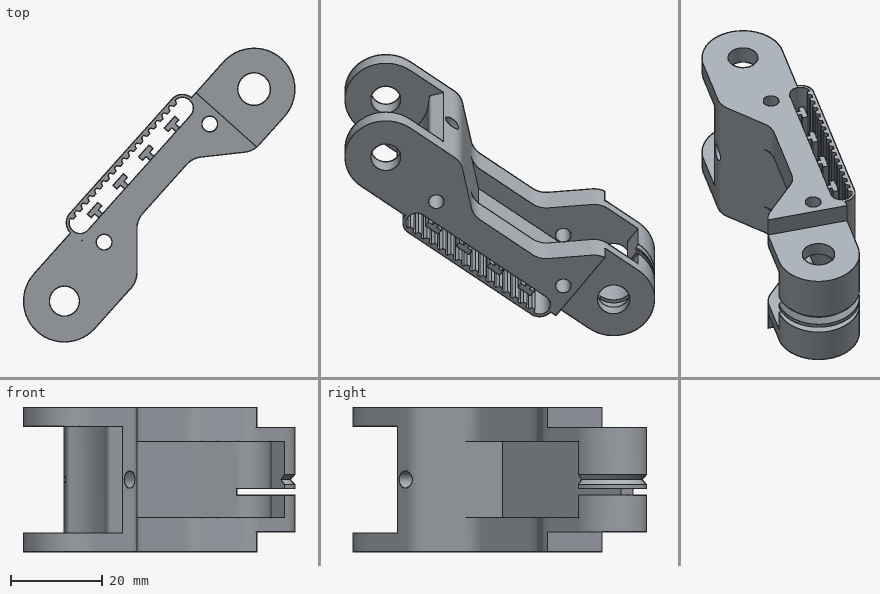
import cadquery as cq
import math

LINK_ANGLE = 48.19
PIVOT_SPACING = 62.5

END_RADIUS = 9.0
BODY_HEIGHT = 31.75
FORK_FLARE_OUTER_U = 13.87
EYE_FLARE_OUTER_U = 52.2
FLARE_RUN = END_RADIUS * math.tan(math.radians(LINK_ANGLE))
FLARE_FILLET = 5.0

SLOT_CENTRE_U = 32.0
SLOT_CENTRE_V = 8.93
SLOT_ARC_SPACING = 33.75
SLOT_RADIUS = 2.37
SLOT_WALL = 0.68
SLOT_FLOOR_V = SLOT_CENTRE_V - SLOT_RADIUS
SLOT_ROOF_V = SLOT_CENTRE_V + SLOT_RADIUS
TOOTH_COUNT = 16
TOOTH_PITCH = 2.216
TOOTH_FIRST_U = 15.12
TOOTH_DEPTH = 0.75
TOOTH_ROOT_WIDTH = 1.6
TOOTH_TIP_WIDTH = 0.85
CLIP_COUNT = 4
CLIP_PITCH = 8.46
CLIP_BAR_LENGTH = 3.5
CLIP_BAR_THICKNESS = 1.2
CLIP_STEM_WIDTH = 1.2
CLIP_HEIGHT = 2.45
CLIP_RECESS = 1.5

FORK_GAP = 23.37
FORK_HOLE_RADIUS = 3.27
FORK_CLEARANCE_RADIUS = 9.45
FORK_BACK_EDGE_U = 9.84
FORK_FRONT_EDGE_U = 9.13
FORK_BACK_TIP_ANGLE = 38.2
FORK_FRONT_TIP_ANGLE = -42.3
FORK_TIP_FILLET = 0.9

EYE_HEIGHT = 22.94
EYE_STEP_U = 53.4
EYE_HOLE_RADIUS = 3.55
EYE_BORE_RADIUS = 5.05
SLIT_TOP_Z = -1.97
SLIT_BOTTOM_Z = -3.41
GROOVE_HALF_WIDTH = 1.13
GROOVE_DEPTH = 1.05
GROOVE_TAIL = 4.3

POCKET_HEIGHT = 16.74
POCKET_WALL_V = 4.03
POCKET_WALL_TILT = 5.0
POCKET_BEND_RADIUS = 10.0

PIN_HOLE_RADIUS = 1.7
PIN_HOLE_PLACES = [(15.47, 2.14), (50.29, 2.14)]
SIDE_BORE_RADIUS = 1.85
SIDE_BORE_U = 11.5
SIDE_BORE_END_V = 6.0
CORD_HOLE_RADIUS = 0.8
EYE_CORD_HOLE_DEPTH = 2.5
EYE_CORD_HOLE_U = PIVOT_SPACING - 4.2
EYE_CORD_HOLE_Z = 2.33
FORK_CORD_HOLE_V = 7.95

CUT_MARGIN = 5.0
PICK_REACH = 0.01


def centred_prism(sketch, height):
    """Extrude a flat outline equally above and below the mid plane."""
    return sketch.extrude(height / 2, both=True)


def centred_cylinder(u, v, radius, height):
    return centred_prism(cq.Workplane("XY").center(u, v).circle(radius), height)


def corner_fillet(solid, corner, radius):
    """Round the upright edge that stands at the given corner."""
    u, v = corner
    picker = cq.selectors.BoxSelector(
        (u - PICK_REACH, v - PICK_REACH, -BODY_HEIGHT), (u + PICK_REACH, v + PICK_REACH, BODY_HEIGHT)
    )
    return solid.edges("|Z").edges(picker).fillet(radius)


def link_body():
    corners = [
        (FORK_FLARE_OUTER_U, -END_RADIUS),
        (FORK_FLARE_OUTER_U + FLARE_RUN, 0),
        (EYE_FLARE_OUTER_U - FLARE_RUN, 0),
        (EYE_FLARE_OUTER_U, -END_RADIUS),
    ]
    outline = cq.Workplane("XY").moveTo(0, -END_RADIUS)
    for u, v in corners:
        outline = outline.lineTo(u, v)
    outline = (
        outline.lineTo(PIVOT_SPACING, -END_RADIUS)
        .threePointArc((PIVOT_SPACING + END_RADIUS, 0), (PIVOT_SPACING, END_RADIUS))
        .lineTo(0, END_RADIUS)
        .threePointArc((-END_RADIUS, 0), (0, -END_RADIUS))
        .close()
    )
    body = centred_prism(outline, BODY_HEIGHT)
    for corner in corners:
        body = corner_fillet(body, corner, FLARE_FILLET)
    return body


def belt_slot(radius):
    """Round-ended bar lying along the slot."""
    sketch = cq.Workplane("XY").center(SLOT_CENTRE_U, SLOT_CENTRE_V)
    return centred_prism(sketch.slot2D(SLOT_ARC_SPACING + 2 * radius, 2 * radius), BODY_HEIGHT)


def belt_teeth():
    """Tapered teeth hanging from the thin outer wall of the slot."""
    root_v = SLOT_ROOF_V + SLOT_WALL / 2
    tip_v = SLOT_ROOF_V - TOOTH_DEPTH
    teeth = cq.Workplane("XY")
    for index in range(TOOTH_COUNT):
        middle = TOOTH_FIRST_U + index * TOOTH_PITCH
        tooth = cq.Workplane("XY").polyline([
            (middle - TOOTH_ROOT_WIDTH / 2, root_v),
            (middle - TOOTH_ROOT_WIDTH / 2, SLOT_ROOF_V),
            (middle - TOOTH_TIP_WIDTH / 2, tip_v),
            (middle + TOOTH_TIP_WIDTH / 2, tip_v),
            (middle + TOOTH_ROOT_WIDTH / 2, SLOT_ROOF_V),
            (middle + TOOTH_ROOT_WIDTH / 2, root_v),
        ]).close()
        teeth = teeth.add(centred_prism(tooth, BODY_HEIGHT))
    return teeth.combine()


def belt_clips():
    """T-shaped clips standing on the slot floor."""
    span_z = BODY_HEIGHT - 2 * CLIP_RECESS
    top_v = SLOT_FLOOR_V + CLIP_HEIGHT
    stem_base_v = SLOT_FLOOR_V - SLOT_WALL / 2
    first_u = SLOT_CENTRE_U - CLIP_PITCH * (CLIP_COUNT - 1) / 2
    clips = cq.Workplane("XY")
    for index in range(CLIP_COUNT):
        middle = first_u + index * CLIP_PITCH
        bar = cq.Workplane("XY").center(middle, top_v - CLIP_BAR_THICKNESS / 2)
        bar = centred_prism(bar.rect(CLIP_BAR_LENGTH, CLIP_BAR_THICKNESS), span_z)
        stem = cq.Workplane("XY").center(middle, (top_v + stem_base_v) / 2)
        stem = centred_prism(stem.rect(CLIP_STEM_WIDTH, top_v - stem_base_v), span_z)
        clips = clips.add(bar.union(stem))
    return clips.combine()


def fork_tip(angle):
    """Point on the clearance circle where it meets a slanted shoulder."""
    turn = math.radians(angle)
    return FORK_CLEARANCE_RADIUS * math.cos(turn), FORK_CLEARANCE_RADIUS * math.sin(turn)


def extend_to_v(start, end, v):
    """Carry the line from start through end on until it reaches the given V."""
    share = (v - start[1]) / (end[1] - start[1])
    return start[0] + share * (end[0] - start[0]), v


def fork_gap():
    """Space between the fork arms, with a round clearance between two slanted shoulders."""
    outside_v = END_RADIUS + CUT_MARGIN
    outside_u = -END_RADIUS - CUT_MARGIN
    back_tip = fork_tip(FORK_BACK_TIP_ANGLE)
    front_tip = fork_tip(FORK_FRONT_TIP_ANGLE)
    outline = (
        cq.Workplane("XY")
        .moveTo(outside_u, -outside_v)
        .lineTo(*extend_to_v(front_tip, (FORK_FRONT_EDGE_U, -END_RADIUS), -outside_v))
        .lineTo(*front_tip)
        .threePointArc((FORK_CLEARANCE_RADIUS, 0), back_tip)
        .lineTo(*extend_to_v(back_tip, (FORK_BACK_EDGE_U, END_RADIUS), outside_v))
        .lineTo(outside_u, outside_v)
        .close()
    )
    gap = centred_prism(outline, FORK_GAP)
    for tip in (back_tip, front_tip):
        gap = corner_fillet(gap, tip, FORK_TIP_FILLET)
    return gap


def eye_steps():
    """Material above and below the thinner eye end."""
    length = PIVOT_SPACING + END_RADIUS + CUT_MARGIN - EYE_STEP_U
    width = 2 * (END_RADIUS + CUT_MARGIN)
    middle = (EYE_STEP_U + length / 2, 0, 0)
    full = cq.Workplane("XY").box(length, width, BODY_HEIGHT + CUT_MARGIN)
    kept = cq.Workplane("XY").box(length, width, EYE_HEIGHT)
    return full.cut(kept).translate(middle)


def front_pocket():
    """Pocket behind the front edge; its back wall tilts to run tangent into the eye bore."""
    tilt = math.radians(POCKET_WALL_TILT)
    tangent_u = PIVOT_SPACING - EYE_BORE_RADIUS * math.sin(tilt)
    tangent_v = EYE_BORE_RADIUS * math.cos(tilt)
    bend_u = tangent_u - (tangent_v - POCKET_WALL_V) / math.tan(tilt)
    setback = POCKET_BEND_RADIUS * math.tan(tilt / 2)
    bend_end = (bend_u + setback * math.cos(tilt), POCKET_WALL_V + setback * math.sin(tilt))
    outside_v = -END_RADIUS - CUT_MARGIN
    flare_slope = FLARE_RUN / END_RADIUS
    outline = (
        cq.Workplane("XY")
        .moveTo(FORK_FLARE_OUTER_U + flare_slope * (END_RADIUS + outside_v), outside_v)
        .lineTo(FORK_FLARE_OUTER_U + flare_slope * (END_RADIUS + POCKET_WALL_V), POCKET_WALL_V)
        .lineTo(bend_u - setback, POCKET_WALL_V)
        .tangentArcPoint(bend_end, relative=False)
        .lineTo(tangent_u, tangent_v)
        .lineTo(PIVOT_SPACING, 0)
        .lineTo(PIVOT_SPACING, outside_v)
        .close()
    )
    bore = centred_cylinder(PIVOT_SPACING, 0, EYE_BORE_RADIUS, POCKET_HEIGHT)
    return centred_prism(outline, POCKET_HEIGHT).union(bore)


def eye_slit():
    """Thin slit through the rounded half of the eye."""
    length = END_RADIUS + CUT_MARGIN
    return cq.Workplane("XY").box(
        length, 2 * length, SLIT_TOP_Z - SLIT_BOTTOM_Z, centered=(False, True, False)
    ).translate((PIVOT_SPACING, 0, SLIT_BOTTOM_Z))


def rim_groove():
    """V groove round the eye rim, with a straight tail along the back edge."""
    floor = END_RADIUS - GROOVE_DEPTH
    profile = [
        (floor, 0),
        (floor + 2 * GROOVE_DEPTH, 2 * GROOVE_HALF_WIDTH),
        (floor + 2 * GROOVE_DEPTH, -2 * GROOVE_HALF_WIDTH),
    ]
    round_part = (
        cq.Workplane("XZ")
        .polyline(profile)
        .close()
        .revolve(180, (0, 0, 0), (0, 1, 0))
        .rotate((0, 0, 0), (0, 0, 1), -90)
    )
    tail = cq.Workplane("YZ").polyline(profile).close().extrude(-GROOVE_TAIL)
    return round_part, tail


def fork_cord_hole():
    """Cord hole square to the back shoulder, running into the side bore."""
    tip_u, tip_v = fork_tip(FORK_BACK_TIP_ANGLE)
    run_u = FORK_BACK_EDGE_U - tip_u
    run_v = END_RADIUS - tip_v
    mouth_u = tip_u + run_u * (FORK_CORD_HOLE_V - tip_v) / run_v
    into_body = cq.Vector(run_v, -run_u, 0).normalized()
    mouth = cq.Vector(mouth_u, FORK_CORD_HOLE_V, 0)
    depth = (SIDE_BORE_U - mouth_u) / into_body.x
    return cq.Solid.makeCylinder(CORD_HOLE_RADIUS, depth, mouth, into_body)


def side_bore():
    """Blind bore entering the front edge beside the fork."""
    start = cq.Vector(SIDE_BORE_U, -END_RADIUS - CUT_MARGIN, 0)
    depth = SIDE_BORE_END_V - start.y
    return cq.Solid.makeCylinder(SIDE_BORE_RADIUS, depth, start, cq.Vector(0, 1, 0))


def eye_cord_hole():
    """Blind cord hole in the back edge, above the tail of the rim groove."""
    start = cq.Vector(EYE_CORD_HOLE_U, END_RADIUS, EYE_CORD_HOLE_Z)
    return cq.Solid.makeCylinder(CORD_HOLE_RADIUS, EYE_CORD_HOLE_DEPTH, start, cq.Vector(0, -1, 0))


def build_link():
    link = link_body().cut(eye_steps())
    link = link.union(belt_slot(SLOT_RADIUS + SLOT_WALL)).cut(belt_slot(SLOT_RADIUS))
    link = link.union(belt_teeth()).union(belt_clips())
    link = link.cut(fork_gap()).cut(front_pocket()).cut(eye_slit())
    for groove in rim_groove():
        link = link.cut(groove.translate((PIVOT_SPACING, 0, 0)))
    link = link.cut(centred_cylinder(0, 0, FORK_HOLE_RADIUS, BODY_HEIGHT))
    link = link.cut(centred_cylinder(PIVOT_SPACING, 0, EYE_HOLE_RADIUS, BODY_HEIGHT))
    for u, v in PIN_HOLE_PLACES:
        link = link.cut(centred_cylinder(u, v, PIN_HOLE_RADIUS, BODY_HEIGHT))
    for hole in (side_bore(), fork_cord_hole(), eye_cord_hole()):
        link = link.cut(cq.Workplane(obj=hole))
    return link


result = build_link().rotate((0, 0, 0), (0, 0, 1), LINK_ANGLE)